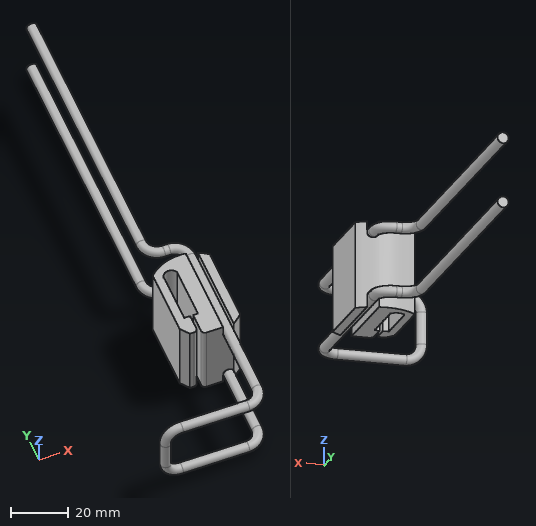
import cadquery as cq
import math


wire_diameter = 4.0
wire_radius = wire_diameter / 2
bend_radius = 5.9
leg_spacing = 23.5
leg_z = leg_spacing / 2
overall_length = 184.0
tail_end_y = overall_length - wire_radius
tail_x = -13.8
jog_y = 73.8

clip_height = 31.5
clip_left = -16.4
clip_right = 5.7
back_left_y = 62.5
back_right_y = 63.7
back_crown = (-4.8, 67.3)
clip_front_y = 32.4
front_corner_radius = 1.5
chamfer_x = wire_radius
chamfer_end_y = 35.3

slot_left = -13.0
slot_right = -8.0
slot_front_y = 41.2
slot_shoulder_y = 60.7
slot_crown_y = 62.4
mouth_left = -10.9
mouth_right = -9.8
hook_tip_y = 34.0
hook_chamfer_start_y = 37.4
hook_chamfer_end_x = -13.8
hook_corner_radius = 1.5

overall_width = 44.5
closed_end_x = clip_right - overall_width + wire_radius


def arc_middle(center, start, end):
    """Middle of a quarter bend, given its center and two end points."""
    reach = 1 / math.sqrt(2)
    return tuple(c + reach * (s + e - 2 * c) for c, s, e in zip(center, start, end))


def make_bend(corner, start, end):
    """Quarter circle from start to end that rounds the given square corner."""
    center = tuple(s + e - c for s, e, c in zip(start, end, corner))
    middle = arc_middle(center, start, end)
    return cq.Edge.makeThreePointArc(cq.Vector(*start), cq.Vector(*middle), cq.Vector(*end))


def step_toward(point, target, distance):
    """Point at a distance from one point in the direction of another."""
    share = distance / math.dist(point, target)
    return tuple(p + share * (t - p) for p, t in zip(point, target))


def make_wire():
    """One continuous round wire: two jogged legs joined by a U at the front."""
    upper_corners = [
        (tail_x, tail_end_y, leg_z),
        (tail_x, jog_y, leg_z),
        (0, jog_y, leg_z),
        (0, 0, leg_z),
        (closed_end_x, 0, leg_z),
    ]
    lower_corners = [(x, y, -z) for x, y, z in reversed(upper_corners)]
    corners = upper_corners + lower_corners

    edges = []
    position = corners[0]
    for corner, following in zip(corners[1:-1], corners[2:]):
        bend_start = step_toward(corner, position, bend_radius)
        bend_end = step_toward(corner, following, bend_radius)
        edges.append(cq.Edge.makeLine(cq.Vector(*position), cq.Vector(*bend_start)))
        edges.append(make_bend(corner, bend_start, bend_end))
        position = bend_end
    edges.append(cq.Edge.makeLine(cq.Vector(*position), cq.Vector(*corners[-1])))

    path = cq.Workplane("XY").newObject([cq.Wire.assembleEdges(edges)])
    section = cq.Workplane("XZ", origin=corners[0]).circle(wire_radius)
    return section.sweep(path)


def make_clip_blank():
    """Clip outline with its hook slot, extruded symmetrically in Z."""
    slot_middle = (slot_left + slot_right) / 2
    hook_corner_x = mouth_left - hook_corner_radius
    hook_corner_y = hook_tip_y + hook_corner_radius
    corner_end_x = mouth_right + front_corner_radius
    corner_start_y = clip_front_y + front_corner_radius
    return (
        cq.Workplane("XY")
        .moveTo(clip_left, back_left_y)
        .threePointArc(back_crown, (clip_right, back_right_y))
        .lineTo(clip_right, chamfer_end_y)
        .lineTo(chamfer_x, clip_front_y)
        .lineTo(corner_end_x, clip_front_y)
        .radiusArc((mouth_right, corner_start_y), front_corner_radius)
        .lineTo(mouth_right, slot_front_y)
        .lineTo(slot_right, slot_front_y)
        .lineTo(slot_right, slot_shoulder_y)
        .threePointArc((slot_middle, slot_crown_y), (slot_left, slot_shoulder_y))
        .lineTo(slot_left, slot_front_y)
        .lineTo(mouth_left, slot_front_y)
        .lineTo(mouth_left, hook_corner_y)
        .radiusArc((hook_corner_x, hook_tip_y), hook_corner_radius)
        .lineTo(hook_chamfer_end_x, hook_tip_y)
        .lineTo(clip_left, hook_chamfer_start_y)
        .close()
        .extrude(clip_height / 2, both=True)
    )


def make_wire_channel(side):
    """Round-bottomed channel open to one Z face; side is +1 or -1."""
    mouth_z = side * clip_height / 2
    seat_z = side * leg_z
    seat_floor_z = side * (leg_z - wire_radius)
    return (
        cq.Workplane("XZ")
        .moveTo(-wire_radius, mouth_z)
        .lineTo(-wire_radius, seat_z)
        .threePointArc((0, seat_floor_z), (wire_radius, seat_z))
        .lineTo(wire_radius, mouth_z)
        .close()
        .extrude(-overall_length)
    )


def make_clip():
    """Clip with one snug channel for each leg of the wire."""
    clip = make_clip_blank()
    for side in (1, -1):
        clip = clip.cut(make_wire_channel(side))
    return clip


wire = make_wire()
clip = make_clip()

result = cq.Compound.makeCompound([wire.val(), clip.val()])